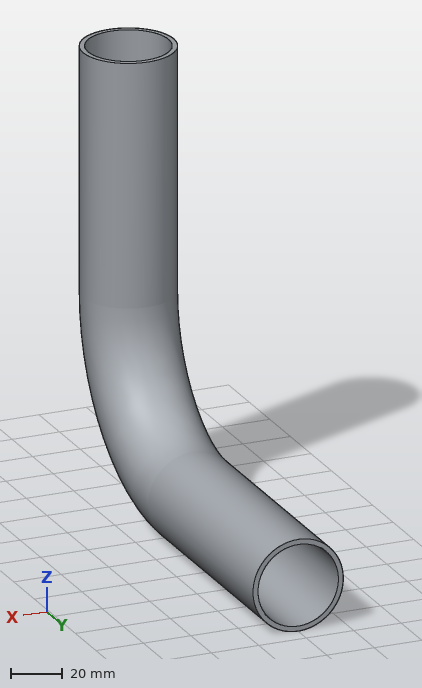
import cadquery as cq
import math

overall_length = 184.2
outer_diameter = 38.1
inner_diameter = 33.9
leg_length = 101.8

outer_radius = outer_diameter / 2
bend_radius = overall_length - leg_length - outer_radius
centerline_length = leg_length + bend_radius

bend_middle = bend_radius * (1 - math.sqrt(0.5))
centerline = (
    cq.Workplane("YZ")
    .moveTo(0, centerline_length)
    .lineTo(0, bend_radius)
    .threePointArc((bend_middle, bend_middle), (bend_radius, 0))
    .lineTo(centerline_length, 0)
)

result = (
    cq.Workplane("XY", origin=(0, 0, centerline_length))
    .circle(outer_radius)
    .circle(inner_diameter / 2)
    .sweep(centerline)
)